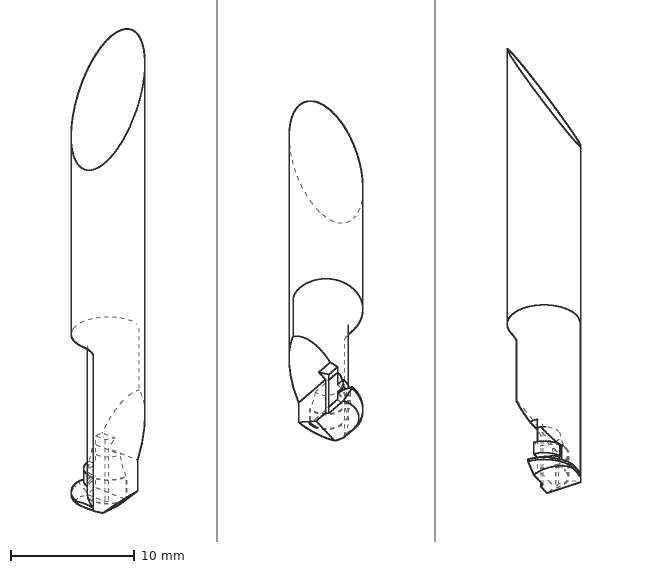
import cadquery as cq
import math

diameter = 6.0
radius = diameter / 2
length = 42.38
end_slope = math.tan(math.radians(60))

neck_shift = 1.7
shoulder_height = 15.54
shoulder_fillet = 0.5

flat_y = 0.2
ramp_foot_height = 4.9

tip_chamfer = 2.05
clearance_slope = math.tan(math.radians(13.2))
tooth_land_bottom = 0.78
tooth_land_top = 1.0
tooth_top = 1.82
lower_flank_slope = math.tan(math.radians(35))
upper_flank_slope = math.tan(math.radians(33))

rake_y = -0.05
chip_wall_x = -0.3
chip_wall_lean = math.tan(math.radians(30))
chip_groove_top = 5.75

plug_radius = 1.92
plug_gap = 0.1
collar_radius = 1.98
collar_bottom = 2.06
collar_top = 3.17
nose_middle_radius = 1.55
nose_middle_height = 3.95
nose_tip_radius = 1.33
nose_tip_height = 4.95

reach = 2 * diameter


def cylinder(x, cylinder_radius, bottom, top):
    return cq.Workplane("XY", origin=(x, 0, bottom)).circle(cylinder_radius).extrude(top - bottom)


def side_prism(outline):
    """Extend a (y, z) outline across the whole part along X."""
    return cq.Workplane("YZ").polyline(outline).close().extrude(reach, both=True)


def make_neck_bar():
    return cylinder(neck_shift, radius, 0, shoulder_height)


def make_tooth():
    """Ring-shaped cutting edge, trimmed to the width of the neck."""
    lower_run = tooth_land_bottom / lower_flank_slope
    upper_run = (tooth_top - tooth_land_top) / upper_flank_slope
    neck_half_width = math.sqrt(radius**2 - (neck_shift / 2) ** 2)
    trimmed_width = cq.Workplane("XY").box(diameter, 2 * neck_half_width, diameter)
    return (
        cq.Workplane("XZ")
        .polyline([
            (0, 0),
            (radius - lower_run, 0),
            (radius, tooth_land_bottom),
            (radius, tooth_land_top),
            (radius - upper_run, tooth_top),
            (0, tooth_top),
        ])
        .close()
        .revolve(360, (0, 0, 0), (0, 1, 0))
        .intersect(trimmed_width)
    )


def make_neck_relief():
    """Material removed around the neck, with its top edge rounded into the shoulder."""
    relief = cylinder(0, reach, 0, shoulder_height).cut(
        cylinder(neck_shift, radius, 0, shoulder_height)
    )
    inner_top = cq.selectors.BoxSelector(
        (neck_shift - radius, -radius, shoulder_height - shoulder_fillet),
        (neck_shift + radius, radius, shoulder_height + shoulder_fillet),
    )
    return relief.edges("%CIRCLE").edges(inner_top).fillet(shoulder_fillet)


def make_end_ramp():
    return side_prism([
        (radius, length),
        (-radius, length - diameter * end_slope),
        (-reach, length - (radius + reach) * end_slope),
        (-reach, length),
    ])


def make_front_flat():
    """Space above the flat and above the ramp rising from it."""
    return side_prism([
        (flat_y, -reach),
        (flat_y, ramp_foot_height),
        (radius, ramp_foot_height + (radius - flat_y) * end_slope),
        (reach, ramp_foot_height + (radius - flat_y) * end_slope),
        (reach, -reach),
    ])


def make_end_clearance():
    """Space below the end face, which rises away from the flat."""
    return side_prism([
        (flat_y, 0),
        (-reach, (flat_y + reach) * clearance_slope),
        (-reach, -reach),
        (flat_y, -reach),
    ])


def make_tip_chamfer():
    return (
        cq.Workplane("XZ")
        .polyline([(radius - tip_chamfer, 0), (radius, 0), (radius, tip_chamfer)])
        .close()
        .extrude(reach, both=True)
    )


def make_chip_groove():
    wall_top_y = radius
    return (
        cq.Workplane("XY")
        .polyline([
            (-reach, rake_y),
            (chip_wall_x, rake_y),
            (chip_wall_x + (wall_top_y - rake_y) * chip_wall_lean, wall_top_y),
            (-reach, wall_top_y),
        ])
        .close()
        .extrude(chip_groove_top)
    )


def make_space_behind_rake():
    return cq.Workplane("XY").box(2 * reach, reach, 2 * reach).translate((0, rake_y - reach / 2, 0))


def make_plug_core():
    """Round core flush with the neck, narrowing to a hollow-sided nose above the collar."""
    return (
        cq.Workplane("XZ")
        .moveTo(0, tooth_land_top)
        .lineTo(plug_radius, tooth_land_top)
        .lineTo(plug_radius, collar_top)
        .threePointArc((nose_middle_radius, nose_middle_height), (nose_tip_radius, nose_tip_height))
        .lineTo(0, nose_tip_height)
        .close()
        .revolve(360, (0, 0, 0), (0, 1, 0))
        .intersect(make_neck_bar())
        .intersect(make_space_behind_rake())
    )


def make_plug():
    collar = (
        cylinder(0, collar_radius, collar_bottom, collar_top)
        .cut(make_neck_bar())
        .intersect(make_space_behind_rake())
    )
    return make_plug_core().union(collar)


def make_plug_seat():
    """Recess in the neck: tight around the nose, with a gap around the round core."""
    bore = (
        cylinder(0, plug_radius + plug_gap, tooth_land_top, collar_top)
        .intersect(make_neck_bar())
        .intersect(make_space_behind_rake())
    )
    return make_plug_core().union(bore)


plug = make_plug()

bar = (
    cylinder(0, radius, 0, length)
    .cut(make_end_ramp())
    .cut(make_neck_relief())
    .union(make_tooth())
    .cut(make_front_flat())
    .cut(make_end_clearance())
    .cut(make_tip_chamfer())
    .cut(make_chip_groove())
    .cut(make_plug_seat())
)

result = cq.Compound.makeCompound([bar.val(), plug.val()])